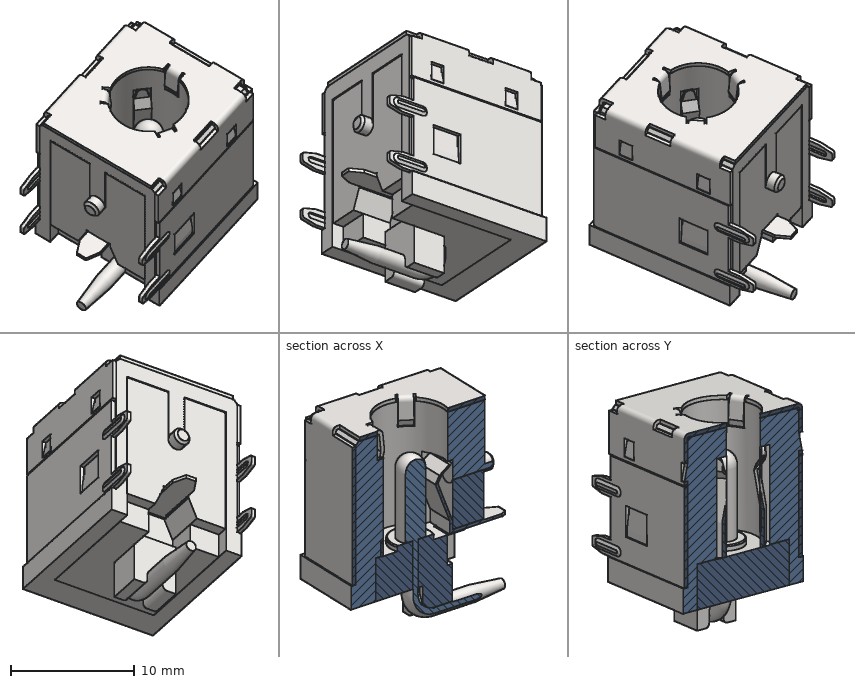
import cadquery as cq
import math


BASE_HALF_X = 6.25
BASE_HEIGHT = 2.2
BASE_BACK_Y = 6.5
FRONT_Y = -7.0
TERMINAL_TIP_Y = -9.2
EDGE_CHAMFER = 0.3
BORE_R = 3.28

SHEET = 0.35
SHELL_HALF_X = 6.15
SHELL_BACK_Y = 6.38
SHELL_TOP_Z = 15.5
BEND_R = 0.5
INNER_BEND_R = BEND_R - SHEET
WRAP_FRONT_Y = -6.8
WRAP_TOP_Z = 10.95
CAP_FLAP_Z = 11.05
CORNER_X = 4.96
CORNER_Y = 5.05
CORNER_Z = 14.6
RELIEF = 0.72
SIDE_RELIEF_HALF = 1.2
BACK_RELIEF_HALF = 2.0
FRONT_RELIEF_Y = -5.96

BODY_HALF_X = SHELL_HALF_X - SHEET
BODY_BACK_Y = SHELL_BACK_Y - SHEET
BODY_TOP_Z = SHELL_TOP_Z - SHEET

LEG_TAPER_Y = -7.9
LEG_HALF = 0.73
LEG_TIP_HALF = 0.42
LEG_TIP_FILLET = 0.2
LEG_CENTERS_Z = (BASE_HEIGHT + LEG_HALF, 8.1)
RIB_BACK_Y = -5.46
RIB_FRONT_Y = -8.8
RIB_LENGTH = RIB_BACK_Y - RIB_FRONT_Y
RIB_MIDDLE_Y = (RIB_BACK_Y + RIB_FRONT_Y) / 2
RIB_WIDTH = 0.88
RIB_HEIGHT = 0.15
RIB_TAPER = 63
GROOVE_DEPTH = 0.2

TAB_ANGLES = (90, 210, 330)
TAB_HALF = 0.65
TAB_RELIEF_HALF = 0.83
TAB_ROOT_R = 3.84
TAB_INNER_R = 3.09
TAB_FOLD_R = 3.25
TAB_CONTACT_Z = 13.5
TAB_TIP_Z = 12.95
TAB_SLOT_HALF = 0.7
TAB_SLOT_Z = 12.85

SMALL_SNAP_FRONT_YS = (2.46, -5.0)
SMALL_SNAP_WIDTH = 1.23
SMALL_SNAP_Z = (11.36, 11.52, 12.96)
SMALL_SNAP_DEPTH = 0.3
LARGE_SNAP_FRONT_Y = -4.79
LARGE_SNAP_WIDTH = 2.72
LARGE_SNAP_Z = (4.48, 5.12, 7.17)
LARGE_SNAP_DEPTH = 0.22
LARGE_SNAP_GAP = 0.1

INSERT_HALF_X = 4.75
INSERT_TOP_Z = 13.64
INSERT_FRONT_Y = -6.9
INSERT_STEP_Y = -5.9
INSERT_BACK_Y = 4.0
PLATE_BACK_Y = -3.72
FLOOR_Z = 3.95
BOSS_R = 2.0
BOSS_HEIGHT = 0.5
BOSS_CHAMFER = 0.11
FOOT_HALF_X = 2.0
FOOT_BACK_Y = -0.7
FOOT_BOTTOM_Z = -3.4
FOOT_FILLET = 0.4
DOOR_TOP_HALF_X = 1.2
DOOR_STEP_Z = 1.2
DOOR_STEP_DEPTH = 0.5

PEG_R = 0.75
PEG_Z = 9.04
PEG_TIP_Y = -8.0
PEG_CHAMFER = 0.22

PIN_HEAD_R = 1.25
PIN_TOP_Z = 12.0
TAIL_R = 0.75
TAIL_BEND_R = 2.0
TAIL_Z = -2.57
TAIL_CONE_Y = -6.2
TAIL_TIP_R = 0.46

TONGUE_Z = FLOOR_Z
TONGUE_THICK = 0.3
TONGUE_HALF = 1.03
TONGUE_TIP_HALF = 0.47
TONGUE_TAPER_Y = -8.03
LEAF_HALF = 1.95
LEAF_SLOT_HALF = 2.0
LEAF_BACK_Y = -3.7
LEAF_CONTACT_Y = -1.97
LEAF_CONTACT_Z = 8.9
LEAF_KNEE_Y = -2.39
LEAF_KNEE_Z = 9.6
LEAF_STRAIGHT_Z = 5.2
LEAF_TOP_Z = 10.3
LEAF_SLOT_Z = 10.6

FINGER_ANGLES = (45, 135)
FINGER_HALF = 0.72
FINGER_SLOT_HALF = 0.75
FINGER_SLOT_R = 3.9
FINGER_SLOT_Z = 12.6
FINGER_THICK = 0.27
FINGER_CONTACT_R = 2.7
FINGER_CONTACT_Z = 10.6
FINGER_SHOULDER_Z = 11.4
FINGER_ARCH_Z = 12.15
FINGER_STRAIGHT_Z = 7.0
FINGER_TIP_Z = 12.5
FINGER_NECK_HALF = 0.6
FINGER_TIP_HALF = 0.42
STRAP_TOP_Z = 5.3
STRAP_OUTER_R = BORE_R + FINGER_THICK


def box(x0, x1, y0, y1, z0, z1):
    """Box between two opposite corners."""
    return cq.Workplane("XY").box(x1 - x0, y1 - y0, z1 - z0, centered=False).translate((x0, y0, z0))


def wide_box(half_x, y0, y1, z0, z1):
    """Box centred on X = 0."""
    return box(-half_x, half_x, y0, y1, z0, z1)


def cylinder(radius, z0, z1):
    return cq.Workplane("XY").workplane(offset=z0).circle(radius).extrude(z1 - z0)


def around_axis(shape, angle):
    """Turn a shape drawn on the +X side to an angle about the plug axis."""
    return shape.rotate((0, 0, 0), (0, 0, 1), angle)


def both_sides(shape):
    """The shape and its mirror image on the -X side."""
    return shape.union(shape.mirror("YZ"))


def make_pin():
    bend_start_z = TAIL_Z + TAIL_BEND_R
    bend_mid = TAIL_BEND_R * math.sqrt(0.5)
    path = (
        cq.Workplane("YZ")
        .moveTo(0, FLOOR_Z + BOSS_HEIGHT)
        .lineTo(0, bend_start_z)
        .threePointArc((bend_mid - TAIL_BEND_R, bend_start_z - bend_mid), (-TAIL_BEND_R, TAIL_Z))
        .lineTo(TAIL_CONE_Y, TAIL_Z)
    )
    shank = cq.Workplane("XY").workplane(offset=FLOOR_Z + BOSS_HEIGHT).circle(TAIL_R).sweep(path)
    cone = (
        cq.Workplane("XZ", origin=(0, TAIL_CONE_Y, TAIL_Z))
        .circle(TAIL_R)
        .workplane(offset=TAIL_CONE_Y - TERMINAL_TIP_Y)
        .circle(TAIL_TIP_R)
        .loft()
    )
    head = cylinder(PIN_HEAD_R, FLOOR_Z + BOSS_HEIGHT, PIN_TOP_Z - PIN_HEAD_R)
    dome = cq.Workplane("XY").sphere(PIN_HEAD_R).translate((0, 0, PIN_TOP_Z - PIN_HEAD_R))
    return shank.union(cone).union(head).union(dome)


def guide_rib(y0, y1):
    """Rib with a round lower end, from the peg up to the top of the insert."""
    straight = wide_box(PEG_R, y0, y1, PEG_Z, INSERT_TOP_Z)
    round_end = cq.Workplane("XZ", origin=(0, y1, PEG_Z)).circle(PEG_R).extrude(y1 - y0)
    return straight.union(round_end)


def insert_envelope(front_y, step_y):
    """Upright plate with a floor behind it; the plate may step back below the base height."""
    plate = wide_box(INSERT_HALF_X, front_y, PLATE_BACK_Y, BASE_HEIGHT, INSERT_TOP_Z)
    floor = wide_box(INSERT_HALF_X, step_y, INSERT_BACK_Y, 0, FLOOR_Z)
    return plate.union(floor).cut(guide_rib(FRONT_Y, PLATE_BACK_Y))


def make_foot():
    foot = wide_box(FOOT_HALF_X, PLATE_BACK_Y, FOOT_BACK_Y, FOOT_BOTTOM_Z, 0)
    slot = wide_box(TAIL_R, PLATE_BACK_Y, FOOT_BACK_Y, FOOT_BOTTOM_Z, TAIL_Z)
    slot_top = cq.Workplane("XZ", origin=(0, FOOT_BACK_Y, TAIL_Z)).circle(TAIL_R)
    foot = foot.cut(slot).cut(slot_top.extrude(FOOT_BACK_Y - PLATE_BACK_Y))
    slot_corners = cq.selectors.BoxSelector(
        (-FOOT_FILLET - TAIL_R, FRONT_Y, FOOT_BOTTOM_Z - FOOT_FILLET),
        (FOOT_FILLET + TAIL_R, 0, FOOT_BOTTOM_Z + FOOT_FILLET),
    )
    return foot.edges("|Y").edges(slot_corners).fillet(FOOT_FILLET)


def make_doorway():
    """Opening under the tongue, tapering upward, with a deeper upper part and the tongue slot on top."""
    def opening(front_y, back_y, bottom_z):
        return (
            cq.Workplane("XZ", origin=(0, back_y, 0))
            .polyline([
                (-FOOT_HALF_X, bottom_z), (FOOT_HALF_X, bottom_z), (FOOT_HALF_X, BASE_HEIGHT),
                (DOOR_TOP_HALF_X, TONGUE_Z), (DOOR_TOP_HALF_X, TONGUE_Z + TONGUE_THICK),
                (-DOOR_TOP_HALF_X, TONGUE_Z + TONGUE_THICK), (-DOOR_TOP_HALF_X, TONGUE_Z),
                (-FOOT_HALF_X, BASE_HEIGHT),
            ])
            .close()
            .extrude(back_y - front_y)
        )
    main = opening(FRONT_Y, PLATE_BACK_Y, 0)
    return main.union(opening(FRONT_Y, PLATE_BACK_Y + DOOR_STEP_DEPTH, DOOR_STEP_Z))


def make_insert(pin):
    boss = cylinder(BOSS_R, FLOOR_Z, FLOOR_Z + BOSS_HEIGHT).faces(">Z").edges().chamfer(BOSS_CHAMFER)
    body = insert_envelope(INSERT_FRONT_Y, INSERT_STEP_Y).cut(make_doorway())
    return body.union(boss).union(make_foot()).cut(pin)


def make_terminal():
    tongue = (
        cq.Workplane("XY", origin=(0, 0, TONGUE_Z))
        .polyline([
            (-TONGUE_HALF, LEAF_BACK_Y), (-TONGUE_HALF, TONGUE_TAPER_Y), (-TONGUE_TIP_HALF, TERMINAL_TIP_Y),
            (TONGUE_TIP_HALF, TERMINAL_TIP_Y), (TONGUE_HALF, TONGUE_TAPER_Y), (TONGUE_HALF, LEAF_BACK_Y),
        ])
        .close()
        .extrude(TONGUE_THICK)
    )
    contact_face = [
        (LEAF_BACK_Y + TONGUE_THICK, TONGUE_Z),
        (LEAF_BACK_Y + TONGUE_THICK, LEAF_STRAIGHT_Z),
        (LEAF_CONTACT_Y, LEAF_CONTACT_Z),
        (LEAF_KNEE_Y, LEAF_KNEE_Z),
        (LEAF_BACK_Y + TONGUE_THICK, LEAF_TOP_Z),
    ]
    back_face = [(y - TONGUE_THICK, z) for y, z in reversed(contact_face)]
    leaf = cq.Workplane("YZ").polyline(contact_face + back_face).close().extrude(LEAF_HALF, both=True)
    return tongue.union(leaf)


def strap_sector(inner_r, outer_r):
    """Ring sector at the bore floor that reaches from one finger to the other."""
    sweep = FINGER_ANGLES[1] - FINGER_ANGLES[0]
    ring = (
        cq.Workplane("XZ")
        .polyline([(inner_r, FLOOR_Z), (outer_r, FLOOR_Z), (outer_r, STRAP_TOP_Z), (inner_r, STRAP_TOP_Z)])
        .close()
        .revolve(sweep, (0, 0, 0), (0, 1, 0))
    )
    middle = ring.val().Center()
    turn = sum(FINGER_ANGLES) / 2 - math.degrees(math.atan2(middle.y, middle.x))
    return around_axis(ring, turn)


def make_finger():
    """Bowed finger on the +X side with a tapered, rounded tip."""
    inner_face = [
        (BORE_R, FLOOR_Z),
        (BORE_R, FINGER_STRAIGHT_Z),
        (FINGER_CONTACT_R, FINGER_CONTACT_Z),
        (BORE_R, FINGER_SHOULDER_Z),
        (BORE_R, FINGER_TIP_Z),
    ]
    outer_face = [(r + FINGER_THICK, z) for r, z in reversed(inner_face)]
    strip = cq.Workplane("XZ").polyline(inner_face + outer_face).close().extrude(FINGER_HALF, both=True)
    outline = (
        cq.Workplane("YZ")
        .moveTo(-FINGER_HALF, FLOOR_Z)
        .lineTo(FINGER_HALF, FLOOR_Z)
        .lineTo(FINGER_HALF, FINGER_SHOULDER_Z)
        .lineTo(FINGER_NECK_HALF, FINGER_SHOULDER_Z)
        .lineTo(FINGER_TIP_HALF, FINGER_ARCH_Z)
        .threePointArc((0, FINGER_TIP_Z), (-FINGER_TIP_HALF, FINGER_ARCH_Z))
        .lineTo(-FINGER_NECK_HALF, FINGER_SHOULDER_Z)
        .lineTo(-FINGER_HALF, FINGER_SHOULDER_Z)
        .close()
        .extrude(FINGER_SLOT_R)
    )
    return strip.intersect(outline)


def make_ground_spring():
    spring = strap_sector(BORE_R, STRAP_OUTER_R)
    for angle in FINGER_ANGLES:
        spring = spring.union(around_axis(make_finger(), angle))
    return spring


def make_snap(front_y, width, z_levels, depth, gap):
    """Wedge on the +X wall, sloping out from its top edge and ending in a flat."""
    bottom_z, slope_end_z, window_top_z = z_levels
    root_x = BODY_HALF_X - SHEET
    top_z = window_top_z - gap
    return (
        cq.Workplane("XZ", origin=(0, front_y + width - gap, 0))
        .polyline([
            (root_x, bottom_z), (BODY_HALF_X + depth, bottom_z), (BODY_HALF_X + depth, slope_end_z),
            (BODY_HALF_X, top_z), (root_x, top_z),
        ])
        .close()
        .extrude(width - gap)
    )


def snap_window(front_y, width, z_levels):
    """Cutter for the matching windows in both side flaps."""
    return wide_box(SHELL_HALF_X, front_y, front_y + width, z_levels[0], z_levels[-1])


def make_peg():
    peg = cq.Workplane("XZ", origin=(0, FRONT_Y, PEG_Z)).circle(PEG_R).extrude(FRONT_Y - PEG_TIP_Y)
    return peg.faces("<Y").edges().chamfer(PEG_CHAMFER)


def make_housing():
    base = wide_box(BASE_HALF_X, FRONT_Y, BASE_BACK_Y, 0, BASE_HEIGHT)
    body = wide_box(BODY_HALF_X, FRONT_Y, BODY_BACK_Y, 0, BODY_TOP_Z)
    body = body.edges("(|Z and >Y) or (>Z and >Y) or (>Z and |Y)").chamfer(EDGE_CHAMFER)
    housing = base.union(body)
    housing = housing.cut(insert_envelope(FRONT_Y, FRONT_Y))
    housing = housing.cut(cylinder(BORE_R, FLOOR_Z, BODY_TOP_Z))
    housing = housing.cut(wide_box(LEAF_SLOT_HALF, PLATE_BACK_Y, 0, FLOOR_Z, LEAF_SLOT_Z))
    housing = housing.cut(strap_sector(BORE_R - FINGER_THICK, STRAP_OUTER_R))
    finger_slot = box(0, FINGER_SLOT_R, -FINGER_SLOT_HALF, FINGER_SLOT_HALF, FLOOR_Z, FINGER_SLOT_Z)
    for angle in FINGER_ANGLES:
        housing = housing.cut(around_axis(finger_slot, angle))
    tab_slot = box(0, TAB_ROOT_R, -TAB_SLOT_HALF, TAB_SLOT_HALF, TAB_SLOT_Z, BODY_TOP_Z)
    for angle in TAB_ANGLES:
        housing = housing.cut(around_axis(tab_slot, angle))
    for front_y in SMALL_SNAP_FRONT_YS:
        snap = make_snap(front_y, SMALL_SNAP_WIDTH, SMALL_SNAP_Z, SMALL_SNAP_DEPTH, 0)
        housing = housing.union(both_sides(snap))
    snap = make_snap(LARGE_SNAP_FRONT_Y, LARGE_SNAP_WIDTH, LARGE_SNAP_Z, LARGE_SNAP_DEPTH, LARGE_SNAP_GAP)
    housing = housing.union(both_sides(snap))
    return housing.union(make_peg())


def make_wrap():
    """Lower side flaps folded forward from the back panel."""
    outer = wide_box(SHELL_HALF_X, WRAP_FRONT_Y, SHELL_BACK_Y, BASE_HEIGHT, WRAP_TOP_Z)
    inner = wide_box(BODY_HALF_X, WRAP_FRONT_Y, BODY_BACK_Y, BASE_HEIGHT, WRAP_TOP_Z)
    outer = outer.edges("|Z and >Y").fillet(BEND_R)
    return outer.cut(inner.edges("|Z and >Y").fillet(INNER_BEND_R))


def make_back_fold():
    """Upper back panel and the bend that joins it to the top plate."""
    outer = wide_box(CORNER_X, 0, SHELL_BACK_Y, WRAP_TOP_Z, SHELL_TOP_Z)
    inner = wide_box(CORNER_X, 0, BODY_BACK_Y, WRAP_TOP_Z, BODY_TOP_Z)
    fold = outer.edges(">Z and >Y").fillet(BEND_R).cut(inner.edges(">Z and >Y").fillet(INNER_BEND_R))
    return fold.union(wide_box(BODY_HALF_X, BODY_BACK_Y, SHELL_BACK_Y, WRAP_TOP_Z, CORNER_Z))


def make_cap():
    """Top plate with the upper side flaps folded down from it."""
    outer = wide_box(SHELL_HALF_X, FRONT_Y, CORNER_Y, CAP_FLAP_Z, SHELL_TOP_Z)
    inner = wide_box(BODY_HALF_X, FRONT_Y, CORNER_Y, CAP_FLAP_Z, BODY_TOP_Z)
    cap = outer.edges(">Z and |Y").fillet(BEND_R).cut(inner.edges(">Z and |Y").fillet(INNER_BEND_R))
    flap_end = box(BODY_HALF_X, SHELL_HALF_X, 0, BODY_BACK_Y, CAP_FLAP_Z, CORNER_Z)
    return cap.union(both_sides(flap_end))


def make_bend_reliefs():
    """Windows through the bends at mid-side, at the front ends and at mid-back."""
    z0 = SHELL_TOP_Z - RELIEF
    x0 = SHELL_HALF_X - RELIEF
    middle = box(x0, SHELL_HALF_X, -SIDE_RELIEF_HALF, SIDE_RELIEF_HALF, z0, SHELL_TOP_Z)
    front = box(x0, SHELL_HALF_X, FRONT_Y, FRONT_RELIEF_Y, z0, SHELL_TOP_Z)
    back = wide_box(BACK_RELIEF_HALF, SHELL_BACK_Y - RELIEF, SHELL_BACK_Y, z0, SHELL_TOP_Z)
    return both_sides(middle.union(front)).union(back)


def make_leg(center_z):
    """Tapered solder leg on the +X side with a raised stiffening rib."""
    leg = (
        cq.Workplane("YZ", origin=(BODY_HALF_X, 0, center_z))
        .polyline([
            (WRAP_FRONT_Y, -LEG_HALF), (LEG_TAPER_Y, -LEG_HALF), (TERMINAL_TIP_Y, -LEG_TIP_HALF),
            (TERMINAL_TIP_Y, LEG_TIP_HALF), (LEG_TAPER_Y, LEG_HALF), (WRAP_FRONT_Y, LEG_HALF),
        ])
        .close()
        .extrude(SHEET)
        .edges("|X and <Y")
        .fillet(LEG_TIP_FILLET)
    )
    rib = (
        cq.Workplane("YZ", origin=(SHELL_HALF_X, RIB_MIDDLE_Y, center_z))
        .slot2D(RIB_LENGTH, RIB_WIDTH)
        .extrude(RIB_HEIGHT, taper=RIB_TAPER)
    )
    return leg.union(rib)


def make_leg_groove(center_z):
    """Cutter for the hollow behind the rib of a +X leg; it also runs into the side flap."""
    return (
        cq.Workplane("YZ", origin=(BODY_HALF_X, RIB_MIDDLE_Y, center_z))
        .slot2D(RIB_LENGTH - SHEET, RIB_WIDTH - SHEET)
        .extrude(GROOVE_DEPTH)
    )


def make_tab():
    """Spring tab on the +X side, bent down from the top plate, with an outward-turned tip."""
    bend_inner_r = TAB_FOLD_R + SHEET
    drop_z = SHELL_TOP_Z - BEND_R
    return (
        cq.Workplane("XZ")
        .moveTo(TAB_ROOT_R, SHELL_TOP_Z)
        .lineTo(TAB_FOLD_R + BEND_R, SHELL_TOP_Z)
        .radiusArc((TAB_FOLD_R, drop_z), -BEND_R)
        .lineTo(TAB_INNER_R, TAB_CONTACT_Z)
        .lineTo(TAB_FOLD_R, TAB_TIP_Z)
        .lineTo(bend_inner_r, TAB_TIP_Z)
        .lineTo(TAB_INNER_R + SHEET, TAB_CONTACT_Z)
        .lineTo(bend_inner_r, drop_z)
        .radiusArc((bend_inner_r + INNER_BEND_R, BODY_TOP_Z), INNER_BEND_R)
        .lineTo(TAB_ROOT_R, BODY_TOP_Z)
        .close()
        .extrude(TAB_HALF, both=True)
    )


def make_shell():
    shell = make_wrap().union(make_back_fold()).union(make_cap()).cut(make_bend_reliefs())
    for front_y in SMALL_SNAP_FRONT_YS:
        shell = shell.cut(snap_window(front_y, SMALL_SNAP_WIDTH, SMALL_SNAP_Z))
    shell = shell.cut(snap_window(LARGE_SNAP_FRONT_Y, LARGE_SNAP_WIDTH, LARGE_SNAP_Z))
    shell = shell.cut(cylinder(BORE_R, BODY_TOP_Z, SHELL_TOP_Z))
    tab_relief = box(0, TAB_ROOT_R, -TAB_RELIEF_HALF, TAB_RELIEF_HALF, BODY_TOP_Z, SHELL_TOP_Z)
    for angle in TAB_ANGLES:
        shell = shell.cut(around_axis(tab_relief, angle)).union(around_axis(make_tab(), angle))
    for center_z in LEG_CENTERS_Z:
        shell = shell.union(both_sides(make_leg(center_z)))
        shell = shell.cut(both_sides(make_leg_groove(center_z)))
    return shell


pin = make_pin()
insert = make_insert(pin)
terminal = make_terminal()
ground_spring = make_ground_spring()
housing = make_housing()
shell = make_shell()

bodies = [housing, insert, shell, pin, terminal, ground_spring]
result = cq.Compound.makeCompound([body.solids().val() for body in bodies])